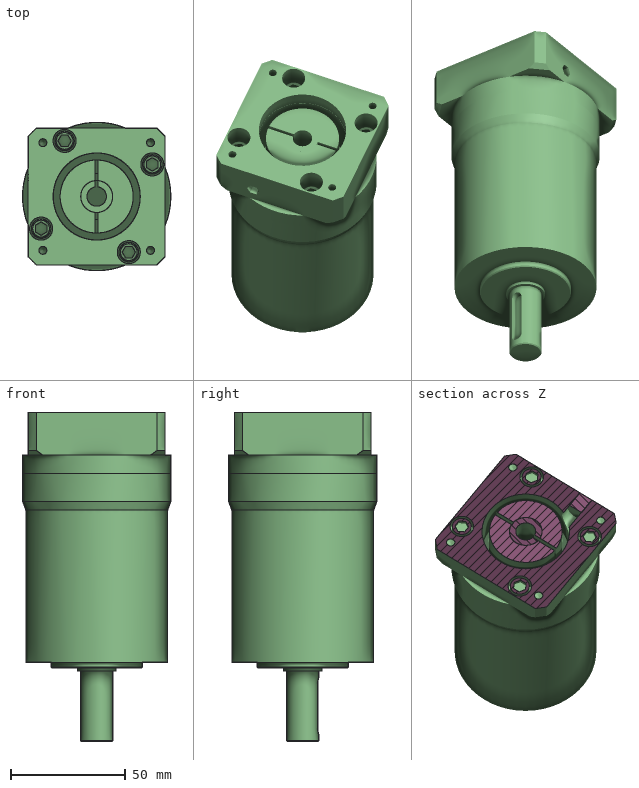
import cadquery as cq
import math

TOTAL_HEIGHT = 144.0
FLANGE_BOTTOM = 117.4
PLATE_BOTTOM = 125.3
TAPER_TOP = 105.1
TAPER_BOTTOM = 101.2
HOUSING_BOTTOM = 34.7
BOSS_BOTTOM = 32.1
COLLAR_BOTTOM = 30.8

RING_DIAMETER = 65.0
HOUSING_DIAMETER = 62.0
BOSS_DIAMETER = 39.9
BOSS_CHAMFER = 0.5
COLLAR_DIAMETER = 17.0
SHAFT_DIAMETER = 14.1
SHAFT_CHAMFER = 0.5
KEYWAY_WIDTH = 5.0
KEYWAY_DEPTH = 3.0
KEYWAY_LENGTH = 25.0
KEYWAY_END_GAP = 3.0

HUB_DIAMETER = 32.0
HUB_TOP = TOTAL_HEIGHT - 6.2
HUB_SLOT_WIDTH = 1.3
HUB_SLOT_DEPTH = 13.0
HUB_CORE_DIAMETER = 20.0
HUB_OUTER_SLOT_DEPTH = 15.8

BUSH_DIAMETER = 14.0
BUSH_BORE = 8.5
BUSH_LENGTH = 17.3
BUSH_BOTTOM = HUB_TOP - BUSH_LENGTH

PLATE_WIDTH = 59.9
PLATE_CORNER_CHAMFER = 3.6
PLATE_UNDERCUT = 2.0
REGISTER_DIAMETER = 38.2
REGISTER_DEPTH = 6.5
FLANGE_BORE = 38.0
TAPPED_HOLE_SPACING = 47.1
TAPPED_HOLE_DIAMETER = 3.5
TAPPED_HOLE_DEPTH = 10.1
DRILL_POINT_ANGLE = 118.0

SCREW_COUNT = 4
SCREW_CIRCLE_RADIUS = 28.1
SCREW_FIRST_ANGLE = 30.0
COUNTERBORE_DIAMETER = 10.1
COUNTERBORE_DEPTH = 13.7
SCREW_HEAD_DIAMETER = 8.5
SCREW_HEAD_HEIGHT = 5.0
SCREW_HEAD_CHAMFER = 0.6
SOCKET_ACROSS_FLATS = 5.0
SCREW_SOCKET_DEPTH = 2.5

PLUG_DIAMETER = 8.0
PLUG_LENGTH = 8.0
PLUG_SOCKET_DEPTH = 4.0
PLUG_Y = 11.1
PLUG_Z = TOTAL_HEIGHT - 12.0


def cylinder(diameter, bottom, top):
    return cq.Workplane("XY").workplane(offset=bottom).circle(diameter / 2).extrude(top - bottom)


def hexagon_diameter(across_flats):
    """Diameter of the circle through the corners of a hexagon."""
    return across_flats / math.cos(math.radians(30))


def keyway():
    """Round-ended slot along the +Y side of the output shaft."""
    return (
        cq.Workplane("XZ", origin=(0, SHAFT_DIAMETER / 2, KEYWAY_END_GAP + KEYWAY_LENGTH / 2))
        .slot2D(KEYWAY_LENGTH, KEYWAY_WIDTH, 90)
        .extrude(KEYWAY_DEPTH)
    )


def gearbox_blank():
    """Housing, output boss, collar and shaft."""
    housing = cylinder(HOUSING_DIAMETER, HOUSING_BOTTOM, TAPER_BOTTOM)
    taper = (
        cq.Workplane("XY").workplane(offset=TAPER_BOTTOM).circle(HOUSING_DIAMETER / 2)
        .workplane(offset=TAPER_TOP - TAPER_BOTTOM).circle(RING_DIAMETER / 2)
        .loft(ruled=True)
    )
    ring = cylinder(RING_DIAMETER, TAPER_TOP, FLANGE_BOTTOM)
    boss = cylinder(BOSS_DIAMETER, BOSS_BOTTOM, HOUSING_BOTTOM).faces("<Z").chamfer(BOSS_CHAMFER)
    collar = cylinder(COLLAR_DIAMETER, COLLAR_BOTTOM, BOSS_BOTTOM)
    shaft = cylinder(SHAFT_DIAMETER, 0, COLLAR_BOTTOM).faces("<Z").chamfer(SHAFT_CHAMFER)
    shaft = shaft.cut(keyway())
    return housing.union(taper).union(ring).union(boss).union(collar).union(shaft)


def hub_slot(depth):
    """Slot right across the top of the hub, along Y."""
    return (
        cq.Workplane("XY").workplane(offset=HUB_TOP)
        .rect(HUB_SLOT_WIDTH, HUB_DIAMETER)
        .extrude(-depth)
    )


def hub():
    """Slotted clamping hub with a seat for the bush."""
    core = cylinder(HUB_CORE_DIAMETER, FLANGE_BOTTOM, HUB_TOP)
    shallow_slot = hub_slot(HUB_SLOT_DEPTH)
    outer_slot = hub_slot(HUB_OUTER_SLOT_DEPTH).cut(core)
    return (
        cylinder(HUB_DIAMETER, FLANGE_BOTTOM, HUB_TOP)
        .cut(cylinder(BUSH_DIAMETER, BUSH_BOTTOM, HUB_TOP))
        .cut(shallow_slot)
        .cut(outer_slot)
    )


def make_gearbox():
    return gearbox_blank().union(hub())


def make_bush():
    """Sleeve with a single slit on its +Y side."""
    slit_reach = BUSH_DIAMETER / 2
    slit = (
        cq.Workplane("XY").workplane(offset=BUSH_BOTTOM)
        .center(0, slit_reach / 2)
        .rect(HUB_SLOT_WIDTH, slit_reach)
        .extrude(BUSH_LENGTH)
    )
    return (
        cylinder(BUSH_DIAMETER, BUSH_BOTTOM, HUB_TOP)
        .cut(cylinder(BUSH_BORE, BUSH_BOTTOM, HUB_TOP))
        .cut(slit)
    )


def plate():
    """Square plate with cut corners, each bevelled at 45 degrees underneath."""
    height = TOTAL_HEIGHT - PLATE_BOTTOM
    corner_distance = (PLATE_WIDTH - PLATE_CORNER_CHAMFER) / math.sqrt(2)
    square = (
        cq.Workplane("XY").workplane(offset=PLATE_BOTTOM)
        .rect(PLATE_WIDTH, PLATE_WIDTH)
        .extrude(height)
        .edges("|Z").chamfer(PLATE_CORNER_CHAMFER)
    )
    bevel = (
        cq.Workplane("XZ")
        .moveTo(corner_distance - PLATE_UNDERCUT, PLATE_BOTTOM)
        .lineTo(corner_distance, PLATE_BOTTOM)
        .lineTo(corner_distance, PLATE_BOTTOM + PLATE_UNDERCUT)
        .close()
        .extrude(PLATE_WIDTH / 2, both=True)
    )
    for corner in range(4):
        square = square.cut(bevel.rotate((0, 0, 0), (0, 0, 1), 45 + 90 * corner))
    return square


def tapped_holes():
    """Blind holes with drill points, one near each plate corner."""
    radius = TAPPED_HOLE_DIAMETER / 2
    point_height = radius / math.tan(math.radians(DRILL_POINT_ANGLE / 2))
    floor = TOTAL_HEIGHT - TAPPED_HOLE_DEPTH
    hole = (
        cq.Workplane("XZ")
        .moveTo(0, TOTAL_HEIGHT)
        .lineTo(radius, TOTAL_HEIGHT)
        .lineTo(radius, floor)
        .lineTo(0, floor - point_height)
        .close()
        .revolve(360, (0, 0, 0), (0, 1, 0))
        .val()
    )
    return (
        cq.Workplane("XY")
        .rect(TAPPED_HOLE_SPACING, TAPPED_HOLE_SPACING, forConstruction=True)
        .vertices()
        .eachpoint(lambda place: hole.moved(place))
    )


def screw_recess():
    """Space above and around one screw head, with the screw on the +X axis."""
    floor = TOTAL_HEIGHT - COUNTERBORE_DEPTH
    head_top = floor + SCREW_HEAD_HEIGHT
    head = (
        cylinder(SCREW_HEAD_DIAMETER, floor, head_top)
        .faces(">Z").chamfer(SCREW_HEAD_CHAMFER)
        .faces(">Z").workplane()
        .polygon(6, hexagon_diameter(SOCKET_ACROSS_FLATS))
        .cutBlind(-SCREW_SOCKET_DEPTH)
        .rotate((0, 0, 0), (0, 0, 1), 90 - SCREW_FIRST_ANGLE)
    )
    recess = cylinder(COUNTERBORE_DIAMETER, floor, TOTAL_HEIGHT).cut(head)
    return recess.translate((SCREW_CIRCLE_RADIUS, 0, 0))


def plug_cylinder(length):
    """Cylinder running inwards from the -X side of the plate."""
    return (
        cq.Workplane("YZ", origin=(-PLATE_WIDTH / 2, PLUG_Y, PLUG_Z))
        .circle(PLUG_DIAMETER / 2)
        .extrude(length)
    )


def make_flange():
    flange = plate().union(cylinder(RING_DIAMETER, FLANGE_BOTTOM, PLATE_BOTTOM))
    flange = flange.cut(cylinder(FLANGE_BORE, FLANGE_BOTTOM, TOTAL_HEIGHT))
    flange = flange.cut(cylinder(REGISTER_DIAMETER, TOTAL_HEIGHT - REGISTER_DEPTH, TOTAL_HEIGHT))
    flange = flange.cut(tapped_holes())
    recess = screw_recess()
    for index in range(SCREW_COUNT):
        angle = SCREW_FIRST_ANGLE + index * 360 / SCREW_COUNT
        flange = flange.cut(recess.rotate((0, 0, 0), (0, 0, 1), angle))
    access_hole = plug_cylinder(PLATE_WIDTH / 2)
    return flange.cut(access_hole)


def make_plug():
    socket = (
        cq.Workplane("YZ", origin=(-PLATE_WIDTH / 2, PLUG_Y, PLUG_Z))
        .polygon(6, hexagon_diameter(SOCKET_ACROSS_FLATS))
        .extrude(PLUG_SOCKET_DEPTH)
    )
    return plug_cylinder(PLUG_LENGTH).cut(socket)


gearbox = make_gearbox()
bush = make_bush()
flange = make_flange()
plug = make_plug()

result = cq.Compound.makeCompound([gearbox.val(), bush.val(), flange.val(), plug.val()])